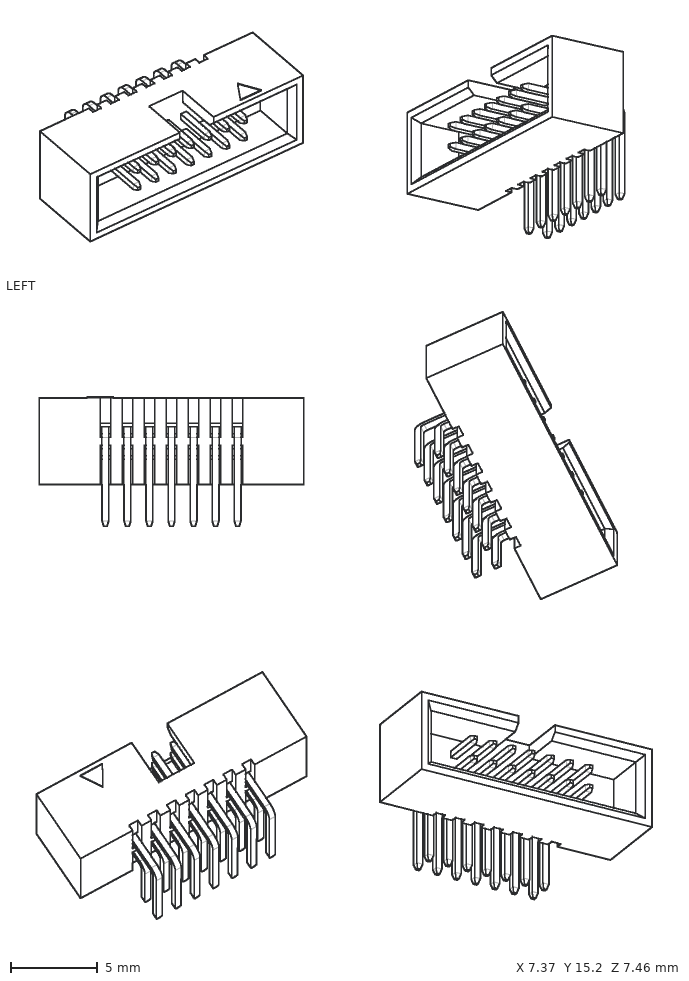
import cadquery as cq
import math


pitch = 1.27
columns = 7
body_depth = 4.9
body_length = 15.24
body_height = 5.0
body_mid_z = body_height / 2

wall = 0.85
cavity_floor_x = 1.9
mouth_chamfer = 0.4
key_slot_width = 2.4

groove_width = 0.6
groove_depth = 0.4
exit_taper = 0.2

pin_size = 0.4
pin_tip_length = 0.32
pin_tip_size = pin_size / 2
bend_inner_radius = 0.2
bend_outer_radius = bend_inner_radius + pin_size
mating_end_x = body_depth - mouth_chamfer
tail_end_z = -2.41
inner_tail_x = -1.0
row_offset = pitch / 2
upper_row = (inner_tail_x - pitch, body_mid_z + row_offset)
lower_row = (inner_tail_x, body_mid_z - row_offset)

mark_side = 1.5
mark_height = 0.05
mark_base_x = 4.59
mark_y = 4.11

column_positions = [(i - (columns - 1) / 2) * pitch for i in range(columns)]


def box(x_min, x_max, width_y, z_min, z_max):
    """Box centred on Y = 0."""
    size = (x_max - x_min, width_y, z_max - z_min)
    return cq.Workplane("XY").box(*size, centered=(False, True, False)).translate((x_min, 0, z_min))


def make_shell():
    """Housing block with its mating cavity, chamfered mouth and key slot."""
    block = box(0, body_depth, body_length, 0, body_height)
    cavity_width = body_length - 2 * wall
    cavity_height = body_height - 2 * wall
    cavity = box(cavity_floor_x, body_depth, cavity_width, wall, wall + cavity_height)
    mouth = (
        cq.Workplane("YZ", origin=(mating_end_x, 0, body_mid_z))
        .rect(cavity_width, cavity_height)
        .workplane(offset=mouth_chamfer)
        .rect(cavity_width + 2 * mouth_chamfer, cavity_height + 2 * mouth_chamfer)
        .loft(combine=True)
    )
    key_slot = box(cavity_floor_x, body_depth, key_slot_width, body_mid_z, body_height)
    return block.cut(cavity).cut(mouth).cut(key_slot)


def make_upper_exit():
    """Rear groove above an upper pin, with the tapered recess that the pin leaves from."""
    pin_z = upper_row[1]
    pin_top = pin_z + pin_size / 2
    pin_bottom = pin_z - pin_size / 2
    recess_x = groove_depth + exit_taper
    groove = (
        cq.Workplane("XZ")
        .moveTo(0, body_height)
        .lineTo(0, pin_bottom - exit_taper)
        .lineTo(exit_taper, pin_bottom)
        .lineTo(recess_x, pin_bottom)
        .lineTo(recess_x, pin_top)
        .lineTo(groove_depth, pin_top + exit_taper)
        .lineTo(groove_depth, body_height)
        .close()
        .extrude(groove_width / 2, both=True)
    )
    funnel = (
        cq.Workplane("YZ", origin=(recess_x, 0, pin_z))
        .rect(groove_width, pin_size)
        .workplane(offset=(groove_width - pin_size) / 2)
        .rect(pin_size, pin_size)
        .loft(combine=True)
    )
    return groove.union(funnel)


def make_tip(origin, direction):
    """Square tapered pin tip starting at origin and pointing along direction."""
    base = cq.Plane(origin=origin, xDir=(0, 1, 0), normal=direction)
    return (
        cq.Workplane(base)
        .rect(pin_size, pin_size)
        .workplane(offset=pin_tip_length)
        .rect(pin_tip_size, pin_tip_size)
        .loft(combine=True)
    )


def make_pin(tail_x, pin_z):
    """Bent square pin: tail along -Z at tail_x, mating end along +X at pin_z."""
    half = pin_size / 2
    tail_shoulder_z = tail_end_z + pin_tip_length
    mating_shoulder_x = mating_end_x - pin_tip_length
    bend_x = tail_x - half + bend_outer_radius
    bend_z = pin_z + half - bend_outer_radius
    diagonal = math.sqrt(0.5)
    outer_mid = (bend_x - bend_outer_radius * diagonal, bend_z + bend_outer_radius * diagonal)
    inner_mid = (bend_x - bend_inner_radius * diagonal, bend_z + bend_inner_radius * diagonal)
    shank = (
        cq.Workplane("XZ")
        .moveTo(tail_x - half, tail_shoulder_z)
        .lineTo(tail_x - half, bend_z)
        .threePointArc(outer_mid, (bend_x, pin_z + half))
        .lineTo(mating_shoulder_x, pin_z + half)
        .lineTo(mating_shoulder_x, pin_z - half)
        .lineTo(bend_x, pin_z - half)
        .threePointArc(inner_mid, (tail_x + half, bend_z))
        .lineTo(tail_x + half, tail_shoulder_z)
        .close()
        .extrude(half, both=True)
    )
    mating_tip = make_tip((mating_shoulder_x, 0, pin_z), (1, 0, 0))
    tail_tip = make_tip((tail_x, 0, tail_shoulder_z), (0, 0, -1))
    return shank.union(mating_tip).union(tail_tip)


def make_pin_one_mark():
    """Raised equilateral triangle on the top face, pointing towards -X."""
    apex_x = mark_base_x - mark_side * math.sqrt(3) / 2
    return (
        cq.Workplane("XY", origin=(0, mark_y, body_height))
        .moveTo(apex_x, 0)
        .lineTo(mark_base_x, -mark_side / 2)
        .lineTo(mark_base_x, mark_side / 2)
        .close()
        .extrude(mark_height)
    )


upper_exit = make_upper_exit()
lower_exit = upper_exit.mirror("XY", (0, 0, body_mid_z))
pins = [make_pin(*upper_row), make_pin(*lower_row)]

result = make_shell().union(make_pin_one_mark())
for y in column_positions:
    for pin_exit in (upper_exit, lower_exit):
        result = result.cut(pin_exit.translate((0, y, 0)))
for y in column_positions:
    for pin in pins:
        result = result.union(pin.translate((0, y, 0)))